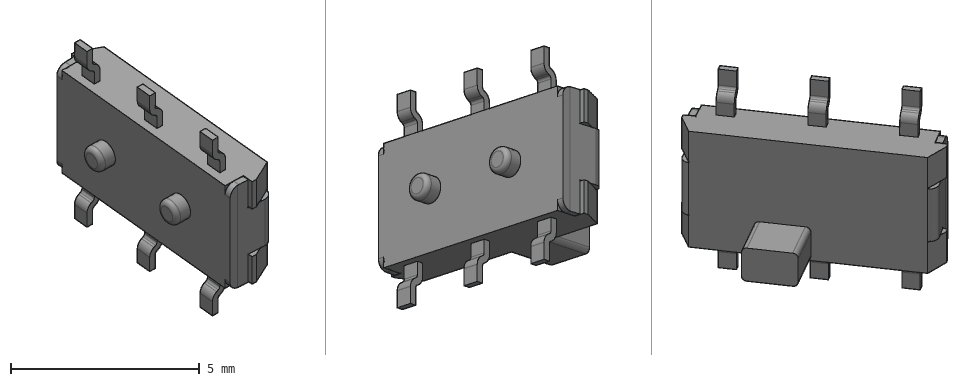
import cadquery as cq
import math

LENGTH = 7.2
HOUSING_DEPTH = 1.5
HOUSING_HEIGHT = 3.5
CORE_LENGTH = 6.5

WING_BASE = 0.65
WING_LIP = 0.15
WING_HEIGHT = 0.935

SHEET = 0.2
CLEARANCE = 0.02
PLATE_BEND_Y = 0.26
PLATE_LEAN = 0.04
PLATE_TOP_RADIUS = 0.3
PLATE_CORNER_RADIUS = 0.3

LEAD_SPAN = 6.0
LEAD_WIDTH = 0.5
LEAD_PITCH = 2.5
LEAD_RISE = 0.26
LEAD_FOOT = 0.48
LEAD_BEND_DEGREES = 60
LEAD_INNER_RADIUS = 0.1

PEG_DIAMETER = 0.755
PEG_LENGTH = 0.505
PEG_SPACING = 2.995
PEG_ROUND = 0.15

KNOB_WIDTH = 1.55
KNOB_HEIGHT = 1.0
KNOB_LENGTH = 1.5
KNOB_CENTER_X = 0.7
KNOB_ROUND = 0.15

half_length = LENGTH / 2
half_core = CORE_LENGTH / 2
half_height = HOUSING_HEIGHT / 2


def block(x_range, y_range, z_range):
    """Box given by its low and high limit on each axis."""
    (x0, x1), (y0, y1), (z0, z1) = x_range, y_range, z_range
    return cq.Workplane("XY").box(x1 - x0, y1 - y0, z1 - z0, centered=False).translate((x0, y0, z0))


def both_ends(solid):
    """The solid together with its mirror image in X."""
    return solid.union(solid.mirror("YZ"))


def make_core():
    return block((-half_core, half_core), (0, HOUSING_DEPTH), (-half_height, half_height))


def make_wing():
    """Upper wing of the +X end: flat lip below, slope running up to the back face."""
    return (
        cq.Workplane("XY", origin=(0, 0, half_height - WING_HEIGHT))
        .moveTo(0, WING_BASE)
        .lineTo(half_length, WING_BASE)
        .lineTo(half_length, WING_BASE + WING_LIP)
        .lineTo(half_core, HOUSING_DEPTH)
        .lineTo(0, HOUSING_DEPTH)
        .close()
        .extrude(WING_HEIGHT)
    )


def make_plate():
    """End plate of the +X end, folded over the back and notched around the wings."""
    outer_base = half_core + SHEET
    outer_top = outer_base + PLATE_LEAN
    inner_top = outer_top - SHEET
    fold_center_x = outer_top - PLATE_TOP_RADIUS
    fold_center_y = HOUSING_DEPTH - PLATE_TOP_RADIUS
    fold_inner_radius = PLATE_TOP_RADIUS - SHEET
    diagonal = math.sqrt(0.5)

    def fold_middle(radius):
        return (fold_center_x + radius * diagonal, fold_center_y + radius * diagonal)

    plate = (
        cq.Workplane("XY", origin=(0, 0, -half_height))
        .moveTo(half_core, 0)
        .lineTo(outer_base, 0)
        .lineTo(outer_base, PLATE_BEND_Y)
        .lineTo(outer_top, fold_center_y)
        .threePointArc(fold_middle(PLATE_TOP_RADIUS), (fold_center_x, HOUSING_DEPTH))
        .lineTo(fold_center_x, fold_center_y + fold_inner_radius)
        .threePointArc(fold_middle(fold_inner_radius), (inner_top, fold_center_y))
        .lineTo(half_core, PLATE_BEND_Y)
        .close()
        .extrude(HOUSING_HEIGHT)
    )
    shoulder = WING_BASE - CLEARANCE
    tab_half_height = half_height - WING_HEIGHT - CLEARANCE
    base_outline = (
        block((0, half_length), (0, shoulder), (-half_height, half_height))
        .edges("|X and <Y")
        .fillet(PLATE_CORNER_RADIUS)
    )
    tab_outline = block((0, half_length), (0, HOUSING_DEPTH), (-tab_half_height, tab_half_height))
    return plate.intersect(base_outline.union(tab_outline))


def make_lead():
    """Upper terminal at X = 0: an S-bend, two arcs joined by a short straight, drops it to Y = 0."""
    outer_radius = LEAD_INNER_RADIUS + SHEET
    radius_sum = LEAD_INNER_RADIUS + outer_radius
    bend_angle = math.radians(LEAD_BEND_DEGREES)
    straight = (LEAD_RISE - radius_sum * (1 - math.cos(bend_angle))) / math.sin(bend_angle)
    tip_z = LEAD_SPAN / 2
    foot_z = tip_z - LEAD_FOOT
    root_z = foot_z - radius_sum * math.sin(bend_angle) - straight * math.cos(bend_angle)

    def foot_arc(radius, angle):
        return (outer_radius - radius * math.cos(angle), foot_z - radius * math.sin(angle))

    def root_arc(radius, angle):
        center_y = LEAD_RISE - LEAD_INNER_RADIUS
        return (center_y + radius * math.cos(angle), root_z + radius * math.sin(angle))

    half_angle = bend_angle / 2
    return (
        cq.Workplane("YZ", origin=(-LEAD_WIDTH / 2, 0, 0))
        .moveTo(0, tip_z)
        .lineTo(0, foot_z)
        .threePointArc(foot_arc(outer_radius, half_angle), foot_arc(outer_radius, bend_angle))
        .lineTo(*root_arc(LEAD_INNER_RADIUS, bend_angle))
        .threePointArc(root_arc(LEAD_INNER_RADIUS, half_angle), (LEAD_RISE, root_z))
        .lineTo(LEAD_RISE, 0)
        .lineTo(LEAD_RISE + SHEET, 0)
        .lineTo(LEAD_RISE + SHEET, root_z)
        .threePointArc(root_arc(outer_radius, half_angle), root_arc(outer_radius, bend_angle))
        .lineTo(*foot_arc(LEAD_INNER_RADIUS, bend_angle))
        .threePointArc(foot_arc(LEAD_INNER_RADIUS, half_angle), (SHEET, foot_z))
        .lineTo(SHEET, tip_z)
        .close()
        .extrude(LEAD_WIDTH)
    )


def make_peg():
    """Locating peg at X = PEG_SPACING / 2, rounded at its free end."""
    return (
        cq.Workplane("XZ", origin=(PEG_SPACING / 2, 0, 0))
        .circle(PEG_DIAMETER / 2)
        .extrude(PEG_LENGTH)
        .faces("<Y")
        .edges()
        .fillet(PEG_ROUND)
    )


def make_knob():
    """Slide knob on the back face, level with the bottom of the housing."""
    return block(
        (KNOB_CENTER_X - KNOB_WIDTH / 2, KNOB_CENTER_X + KNOB_WIDTH / 2),
        (HOUSING_DEPTH, HOUSING_DEPTH + KNOB_LENGTH),
        (-half_height, -half_height + KNOB_HEIGHT),
    ).edges("|Y").fillet(KNOB_ROUND)


wing = make_wing()
lead = make_lead()

result = make_core()
result = result.union(both_ends(wing.union(wing.mirror("XY"))))
result = result.union(both_ends(make_plate()))
lead_pair = lead.union(lead.mirror("XY"))
for column in (-1, 0, 1):
    result = result.union(lead_pair.translate((column * LEAD_PITCH, 0, 0)))
result = result.union(both_ends(make_peg()))
result = result.union(make_knob())